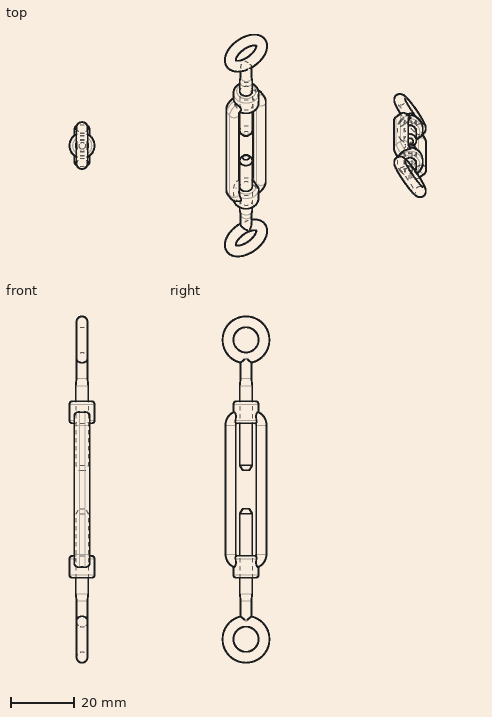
import cadquery as cq

overall_length = 110.0

wire_diameter = 3.5
eye_inner_diameter = 7.9
thread_diameter = 4.1
shank_taper_top_z = 35.3
thread_top_z = 33.0
bolt_tip_z = 6.0
tip_chamfer_length = 1.6
tip_diameter = 2.1

wire_radius = wire_diameter / 2
thread_radius = thread_diameter / 2
tip_radius = tip_diameter / 2
eye_ring_radius = (eye_inner_diameter + wire_diameter) / 2
eye_center_z = overall_length / 2 - eye_ring_radius - wire_radius

head_diameter = 8.0
head_outer_z = 28.0
head_inner_z = 21.0
head_fillet = 1.0
frame_width = 13.1
bar_width = 5.0
bar_thickness = 3.3
bar_straight_z = 20.5
bend_radius = 3.0

bar_center_y = (frame_width - bar_thickness) / 2
head_height = head_outer_z - head_inner_z


def make_head():
    """Upper round boss of the frame, with rounded rims."""
    return (
        cq.Workplane("XY", origin=(0, 0, head_inner_z))
        .circle(head_diameter / 2)
        .extrude(head_height)
        .edges("%CIRCLE")
        .fillet(head_fillet)
    )


def make_bar():
    """Side bar on the +Y side, bent inward into the heads at both ends."""
    bend_end_y = bar_center_y - bend_radius
    bend_end_z = bar_straight_z + bend_radius
    path = (
        cq.Workplane("YZ")
        .moveTo(bar_center_y, 0)
        .lineTo(bar_center_y, bar_straight_z)
        .radiusArc((bend_end_y, bend_end_z), -bend_radius)
    )
    half_bar = (
        cq.Workplane("XY", origin=(0, bar_center_y, 0))
        .slot2D(bar_width, bar_thickness)
        .sweep(path)
    )
    return half_bar.union(half_bar.mirror("XY"))


def make_frame():
    """Two heads joined by two side bars, bored through for the bolts."""
    head = make_head()
    bar = make_bar()
    bore = cq.Workplane("XY").circle(thread_radius).extrude(overall_length / 2, both=True)
    return head.union(head.mirror("XY")).union(bar).union(bar.mirror("XZ")).cut(bore)


def make_eye_bolt():
    """Upper eye bolt: threaded rod, tapered neck, plain shank and eye ring in the YZ plane."""
    shank_end_z = eye_center_z - eye_ring_radius
    rod = (
        cq.Workplane("XZ")
        .moveTo(0, bolt_tip_z)
        .lineTo(tip_radius, bolt_tip_z)
        .lineTo(thread_radius, bolt_tip_z + tip_chamfer_length)
        .lineTo(thread_radius, thread_top_z)
        .lineTo(wire_radius, shank_taper_top_z)
        .lineTo(wire_radius, shank_end_z)
        .lineTo(0, shank_end_z)
        .close()
        .revolve(360, (0, 0), (0, 1))
    )
    ring = cq.Workplane(
        cq.Solid.makeTorus(eye_ring_radius, wire_radius, cq.Vector(0, 0, eye_center_z), cq.Vector(1, 0, 0))
    )
    return rod.union(ring)


frame = make_frame()

upper_bolt = make_eye_bolt()
eye_bolts = []
for bolt in (upper_bolt, upper_bolt.mirror("XY")):
    eye_bolts.append(bolt.solids().val())

result = cq.Compound.makeCompound([frame.solids().val(), *eye_bolts])